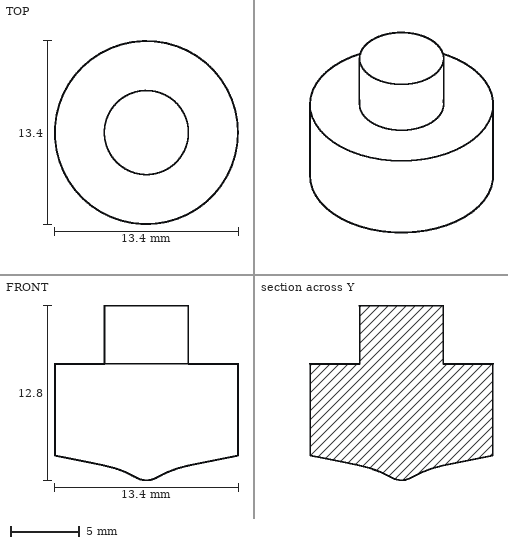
import cadquery as cq
import math

body_radius = 13.4 / 2
stem_radius = 6.15 / 2
total_height = 12.77
stem_height = 4.26

cone_angle = math.radians(11.3)
cone_inner_radius = 3.15
cone_inner_height = 1.1
tip_radius = 0.64
tip_height = 0.15
rim_fillet = 0.08

shoulder_height = total_height - stem_height
cone_drop = (body_radius - cone_inner_radius) * math.tan(cone_angle)
rim_height = cone_inner_height + cone_drop

rim_setback = rim_fillet * math.tan((math.pi / 2 - cone_angle) / 2)
rim_arc_end = (
    body_radius - rim_setback * math.cos(cone_angle),
    rim_height - rim_setback * math.sin(cone_angle),
)

dome_radius = (tip_radius**2 + tip_height**2) / (2 * tip_height)
dome_half_angle = math.asin(tip_radius / dome_radius) / 2
dome_middle = (
    dome_radius * math.sin(dome_half_angle),
    dome_radius * (1 - math.cos(dome_half_angle)),
)

profile = (
    cq.Workplane("XZ")
    .moveTo(0, total_height)
    .lineTo(stem_radius, total_height)
    .lineTo(stem_radius, shoulder_height)
    .lineTo(body_radius, shoulder_height)
    .lineTo(body_radius, rim_height + rim_setback)
    .tangentArcPoint(rim_arc_end, relative=False)
    .lineTo(cone_inner_radius, cone_inner_height)
    .tangentArcPoint((tip_radius, tip_height), relative=False)
    .threePointArc(dome_middle, (0, 0))
    .close()
)
result = profile.revolve(360, (0, 0, 0), (0, 1, 0))